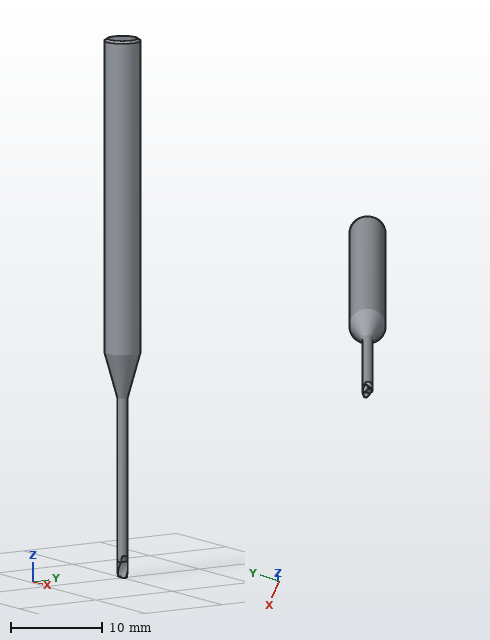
import cadquery as cq
import math

overall_length = 60.0
shank_diameter = 4.0
shank_chamfer_width = 0.36
shank_chamfer_height = 0.25
shank_start = 25.1
reach = 20.0
neck_diameter = 1.15

cutter_diameter = 1.2
cutting_length = 1.5 * cutter_diameter
helix_angle = 25.0
tooth_count = 2

core_radius = 0.27
heel_radius = 0.5
heel_angle = 45.0
land_middle_radius = 0.57
flute_bottom_angle = 115.0

corner_radius = 0.15
dish_depth = 0.1
end_relief_angle = 15.0

runout_radius = 0.7
runout_tilt = 25.0

shank_radius = shank_diameter / 2
neck_radius = neck_diameter / 2
cutter_radius = cutter_diameter / 2
tooth_pitch = 360.0 / tooth_count
helix_lead = math.pi * cutter_diameter / math.tan(math.radians(helix_angle))
cutter_twist = 360.0 * cutting_length / helix_lead
origin = (0, 0, 0)
x_axis = (1, 0, 0)
y_axis = (0, 1, 0)
z_axis = (0, 0, 1)


def polar(radius, angle):
    """Point in the XY plane at the given radius and angle in degrees."""
    return radius * math.cos(math.radians(angle)), radius * math.sin(math.radians(angle))


def fluted_section():
    """Closed outline of the teeth: a relieved land and a concave flute for each."""
    section = cq.Workplane("XY").moveTo(*polar(cutter_radius, 0))
    for tooth in range(tooth_count):
        edge_angle = tooth * tooth_pitch
        section = section.threePointArc(
            polar(land_middle_radius, edge_angle + heel_angle / 2),
            polar(heel_radius, edge_angle + heel_angle),
        ).threePointArc(
            polar(core_radius, edge_angle + flute_bottom_angle),
            polar(cutter_radius, edge_angle + tooth_pitch),
        )
    return section.close()


def end_relief():
    """Block under the end face of the +X tooth: dished to the centre, falling away to the heel."""
    dish_angle = math.degrees(math.atan2(dish_depth, cutter_radius))
    block = cq.Workplane("XY").box(
        cutter_diameter, 2 * cutter_diameter, cutter_diameter, centered=(False, True, False)
    )
    return (
        block.translate((-cutter_diameter, 0, -cutter_diameter))
        .rotate(origin, x_axis, end_relief_angle)
        .rotate(origin, y_axis, dish_angle)
        .translate((cutter_radius, 0, 0))
        .intersect(block.translate((0, 0, -cutter_radius)))
    )


def make_cutter():
    """Two-flute helical cutting head with rounded corners and a dished end."""
    envelope = (
        cq.Workplane("XY")
        .circle(cutter_radius)
        .extrude(cutting_length)
        .faces("<Z")
        .edges()
        .fillet(corner_radius)
    )
    cutter = fluted_section().twistExtrude(cutting_length, cutter_twist).intersect(envelope)
    for tooth in range(tooth_count):
        cutter = cutter.cut(end_relief().rotate(origin, z_axis, tooth * tooth_pitch))
    return cutter


def flute_runout():
    """Round cut that carries a flute out through the side of the neck, tilted to rise on one side."""
    return (
        cq.Workplane("XZ")
        .circle(runout_radius)
        .extrude(cutter_diameter, both=True)
        .rotate(origin, x_axis, -runout_tilt)
        .translate((core_radius + runout_radius, 0, cutting_length))
    )


def make_shank():
    """Slender neck, cone and chamfered shank, with the flutes running out in the neck."""
    shank = (
        cq.Workplane("XZ")
        .moveTo(0, cutting_length)
        .lineTo(neck_radius, cutting_length)
        .lineTo(neck_radius, reach)
        .lineTo(shank_radius, shank_start)
        .lineTo(shank_radius, overall_length - shank_chamfer_height)
        .lineTo(shank_radius - shank_chamfer_width, overall_length)
        .lineTo(0, overall_length)
        .close()
        .revolve(360, origin, y_axis)
    )
    flute_direction = cutter_twist + flute_bottom_angle
    for tooth in range(tooth_count):
        shank = shank.cut(flute_runout().rotate(origin, z_axis, flute_direction + tooth * tooth_pitch))
    return shank


cutter = make_cutter()
shank = make_shank()

result = cq.Compound.makeCompound([cutter.solids().val(), shank.solids().val()])